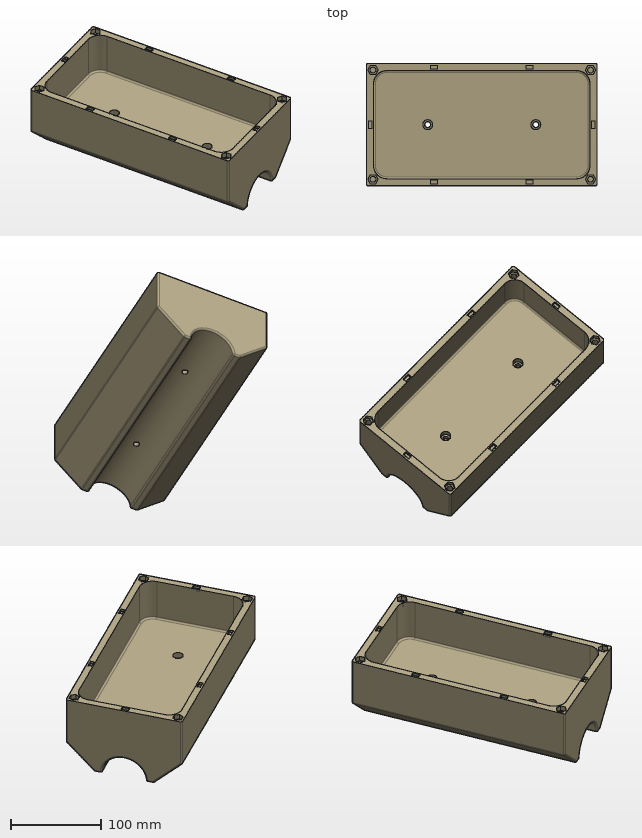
import cadquery as cq

LENGTH = 256.0
WIDTH = 136.0
HEIGHT = 90.0
SIDE_HEIGHT = 57.3
FOOT_OUTER_HALF = 34.5
SADDLE_RADIUS = 25.9
EDGE_RADIUS = 2.0

WALL = 8.0
CAVITY_DEPTH = 50.0
CAVITY_CORNER_RADIUS = 15.0
FLOOR_FILLET = 2.0

FLOOR_HOLE_OFFSET = 60.0
HOLE_DIAMETER = 6.5
COUNTERBORE_DIAMETER = 11.0
COUNTERBORE_DEPTH = 8.0

NUT_INSET = 7.5
NUT_ACROSS_CORNERS = 11.5
NUT_DEPTH = 6.0
SCREW_HOLE_DEPTH = 20.5

SLOT_LENGTH = 8.2
SLOT_WIDTH = 4.0
SLOT_DEPTH = 3.0
SLOT_INSET = 4.4
SLOT_OFFSET = 53.0

FLOOR_Z = HEIGHT - CAVITY_DEPTH


def make_body():
    """Extrude the end profile and round every edge below the top rim."""
    half_width = WIDTH / 2
    shoulder_z = HEIGHT - SIDE_HEIGHT
    profile = (
        cq.Workplane("YZ")
        .moveTo(-half_width, HEIGHT)
        .lineTo(-half_width, shoulder_z)
        .lineTo(-FOOT_OUTER_HALF, 0)
        .lineTo(-SADDLE_RADIUS, 0)
        .threePointArc((0, SADDLE_RADIUS), (SADDLE_RADIUS, 0))
        .lineTo(FOOT_OUTER_HALF, 0)
        .lineTo(half_width, shoulder_z)
        .lineTo(half_width, HEIGHT)
        .close()
    )
    body = profile.extrude(LENGTH / 2, both=True)
    return body.edges("not(>Z)").fillet(EDGE_RADIUS)


def make_cavity():
    """Rounded box removed from the top, with a fillet around its floor."""
    return (
        cq.Workplane("XY", origin=(0, 0, FLOOR_Z))
        .rect(LENGTH - 2 * WALL, WIDTH - 2 * WALL)
        .extrude(CAVITY_DEPTH)
        .edges("|Z")
        .fillet(CAVITY_CORNER_RADIUS)
        .faces("<Z")
        .edges()
        .fillet(FLOOR_FILLET)
    )


def rim_plane():
    return cq.Workplane("XY", origin=(0, 0, HEIGHT))


def cut_floor_holes(body):
    holes = cq.Workplane("XY", origin=(0, 0, FLOOR_Z)).pushPoints(
        [(-FLOOR_HOLE_OFFSET, 0), (FLOOR_HOLE_OFFSET, 0)]
    )
    through_holes = holes.circle(HOLE_DIAMETER / 2).extrude(-FLOOR_Z)
    counterbores = holes.circle(COUNTERBORE_DIAMETER / 2).extrude(-COUNTERBORE_DEPTH)
    return body.cut(through_holes).cut(counterbores)


def cut_nut_pockets(body):
    corners = rim_plane().rect(
        LENGTH - 2 * NUT_INSET, WIDTH - 2 * NUT_INSET, forConstruction=True
    ).vertices()
    pockets = corners.polygon(6, NUT_ACROSS_CORNERS).extrude(-NUT_DEPTH)
    screw_holes = corners.circle(HOLE_DIAMETER / 2).extrude(-SCREW_HOLE_DEPTH)
    return body.cut(pockets).cut(screw_holes)


def cut_rim_slots(body):
    long_side_y = WIDTH / 2 - SLOT_INSET
    short_side_x = LENGTH / 2 - SLOT_INSET
    long_side_slots = (
        rim_plane()
        .rect(2 * SLOT_OFFSET, 2 * long_side_y, forConstruction=True)
        .vertices()
        .rect(SLOT_LENGTH, SLOT_WIDTH)
        .extrude(-SLOT_DEPTH)
    )
    short_side_slots = (
        rim_plane()
        .pushPoints([(-short_side_x, 0), (short_side_x, 0)])
        .rect(SLOT_WIDTH, SLOT_LENGTH)
        .extrude(-SLOT_DEPTH)
    )
    return body.cut(long_side_slots).cut(short_side_slots)


result = make_body().cut(make_cavity())
result = cut_floor_holes(result)
result = cut_nut_pockets(result)
result = cut_rim_slots(result)